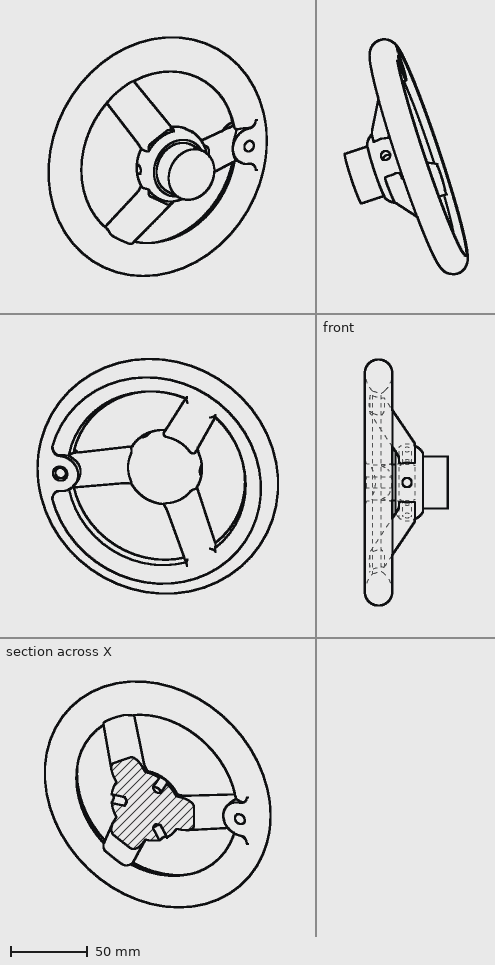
import cadquery as cq
import math


wheel_radius = 80.0
rim_width = 18.0
rim_mid_x = rim_width / 2
rim_center_radius = wheel_radius - rim_width / 2
rim_step_depth = 0.5
rim_step_radius = rim_center_radius - 0.3
rim_edge_x = 5.0
rim_edge_radius = 59.5
rim_inner_x = 10.5
rim_inner_radius = 57.6

hub_face_x = 20.0
hub_crown_x = 27.5
hub_shoulder_x = 38.0
hub_end_x = 54.0
hub_radius = 25.0
hub_face_radius = 19.0
hub_end_radius = 34.0 / 2

drill_radius = 6.0 / 2
drill_depth = 9.6
drill_point_angle = 118.0

spoke_count = 3
spoke_pitch = 360 / spoke_count
spoke_lean = math.radians(30.0)
spoke_thickness = 9.1
spoke_back_x = 32.6
spoke_back_radius = 24.8
spoke_root_radius = 16.0
spoke_tip_radius = 62.0
spoke_root_half_width = 12.2
spoke_tip_half_width = 11.4
spoke_bend_start = 26.4
spoke_bend_radius = 8.0
spoke_front_round = 3.2
spoke_back_round = 5.0
spoke_tip_fillet = 2.4

boss_center_y = 63.0
boss_radius = 12.0
boss_flare_radius = 5.0
handle_hole_radius = 7.0 / 2
handle_hole_chamfer = 1.3


def revolve_about_x(profile):
    return profile.close().revolve(360, (0, 0, 0), (1, 0, 0))


def turn(body, angle):
    return body.rotate((0, 0, 0), (1, 0, 0), angle)


def arc_middle(start, direction, end):
    """Middle point of the arc that leaves start along a unit direction and reaches end."""
    chord_x = end[0] - start[0]
    chord_y = end[1] - start[1]
    chord = math.hypot(chord_x, chord_y)
    toward_x = direction[0] + chord_x / chord
    toward_y = direction[1] + chord_y / chord
    reach = chord**2 / (2 * (toward_x * chord_x + toward_y * chord_y))
    return start[0] + reach * toward_x, start[1] + reach * toward_y


def make_rim():
    """Round outer half, a small step in the front face and a slimmer inner half."""
    step_foot = (rim_step_depth, rim_step_radius)
    inner_edge = (rim_edge_x, rim_edge_radius)
    front_middle = arc_middle(step_foot, (0, -1), inner_edge)
    profile = (
        cq.Workplane("XY")
        .moveTo(0, rim_center_radius)
        .threePointArc((rim_mid_x, wheel_radius), (rim_width, rim_center_radius))
        .tangentArcPoint((rim_inner_x, rim_inner_radius), relative=False)
        .lineTo(*inner_edge)
        .threePointArc(front_middle, step_foot)
        .lineTo(0, rim_step_radius)
    )
    return revolve_about_x(profile)


def make_hub():
    crown = (hub_crown_x, hub_radius)
    face_rim = (hub_face_x, hub_face_radius)
    shoulder_rim = (hub_shoulder_x, hub_face_radius)
    profile = (
        cq.Workplane("XY")
        .moveTo(hub_face_x, 0)
        .lineTo(*face_rim)
        .threePointArc(arc_middle(crown, (-1, 0), face_rim), crown)
        .threePointArc(arc_middle(crown, (1, 0), shoulder_rim), shoulder_rim)
        .lineTo(hub_shoulder_x, hub_end_radius)
        .lineTo(hub_end_x, hub_end_radius)
        .lineTo(hub_end_x, 0)
    )
    return turn(revolve_about_x(profile), spoke_pitch / 2)


def spoke_back(y):
    """X of the sloping back face of the +Y spoke."""
    return spoke_back_x - math.tan(spoke_lean) * (y - spoke_back_radius)


def spoke_front(y):
    """X of the sloping front face of the +Y spoke."""
    return spoke_back(y) - spoke_thickness / math.cos(spoke_lean)


def make_spoke_blank():
    """Square-edged +Y spoke; its front face bends to run straight into the hub."""
    bend_x = spoke_front(spoke_bend_start)
    bend_end_x = bend_x + spoke_bend_radius * (1 - math.cos(spoke_lean))
    bend_end_y = spoke_bend_start - spoke_bend_radius * math.sin(spoke_lean)
    side = (
        cq.Workplane("XY")
        .moveTo(spoke_back(spoke_root_radius), spoke_root_radius)
        .lineTo(spoke_back(wheel_radius), wheel_radius)
        .lineTo(spoke_front(wheel_radius), wheel_radius)
        .lineTo(bend_x, spoke_bend_start)
        .tangentArcPoint((bend_end_x, bend_end_y), relative=False)
        .lineTo(bend_end_x, spoke_root_radius)
        .close()
        .extrude(wheel_radius, both=True)
    )
    tip_corner_y = math.sqrt(spoke_tip_radius**2 - spoke_tip_half_width**2)
    plan = (
        cq.Workplane("YZ")
        .moveTo(spoke_root_radius, -spoke_root_half_width)
        .lineTo(tip_corner_y, -spoke_tip_half_width)
        .threePointArc((spoke_tip_radius, 0), (tip_corner_y, spoke_tip_half_width))
        .lineTo(spoke_root_radius, spoke_root_half_width)
        .close()
        .extrude(hub_end_x)
    )
    return side.intersect(plan)


def make_spoke():
    blank = make_spoke_blank()
    middle_y = (spoke_root_radius + spoke_tip_radius) / 2

    front_face = blank.faces(cq.selectors.NearestToPointSelector((spoke_front(middle_y), middle_y, 0)))
    front_edges = front_face.edges().filter(lambda edge: edge.Center().y > spoke_bend_start + 1.6)
    spoke = front_edges.fillet(spoke_front_round)

    back_face = spoke.faces(cq.selectors.NearestToPointSelector((spoke_back(middle_y), middle_y, 0)))
    spoke = back_face.edges("(not |Z) and (<Z or >Z)").fillet(spoke_back_round)

    return spoke.intersect(cq.Workplane("YZ").circle(wheel_radius).extrude(spoke_back_x))


def make_boss():
    """Round pad that flares into the rim with a hollow arc on each side."""
    diagonal = boss_flare_radius * math.sqrt(0.5)
    flare_center_z = boss_radius + boss_flare_radius
    flare_middle = (boss_center_y + diagonal, flare_center_z - diagonal)
    flare_end_y = boss_center_y + boss_flare_radius
    outer_y = math.sqrt(rim_center_radius**2 - flare_center_z**2)
    profile = (
        cq.Workplane("YZ")
        .moveTo(outer_y, -flare_center_z)
        .lineTo(flare_end_y, -flare_center_z)
        .threePointArc((flare_middle[0], -flare_middle[1]), (boss_center_y, -boss_radius))
        .threePointArc((boss_center_y - boss_radius, 0), (boss_center_y, boss_radius))
        .threePointArc(flare_middle, (flare_end_y, flare_center_z))
        .lineTo(outer_y, flare_center_z)
        .threePointArc((rim_center_radius, 0), (outer_y, -flare_center_z))
        .close()
    )
    return profile.extrude(rim_width)


def make_handle_hole():
    """Through hole in the boss with a chamfered front rim."""
    profile = (
        cq.Workplane("XY")
        .moveTo(0, boss_center_y)
        .lineTo(0, boss_center_y + handle_hole_radius + handle_hole_chamfer)
        .lineTo(handle_hole_chamfer, boss_center_y + handle_hole_radius)
        .lineTo(rim_width, boss_center_y + handle_hole_radius)
        .lineTo(rim_width, boss_center_y)
        .close()
    )
    return profile.revolve(360, (0, boss_center_y, 0), (1, boss_center_y, 0))


def make_drilled_hole():
    """Blind hole with a conical bottom, drilled into the hub from -Y."""
    bottom_y = drill_depth - hub_radius
    point_height = drill_radius / math.tan(math.radians(drill_point_angle / 2))
    profile = (
        cq.Workplane("XY")
        .moveTo(hub_crown_x, -hub_radius)
        .lineTo(hub_crown_x + drill_radius, -hub_radius)
        .lineTo(hub_crown_x + drill_radius, bottom_y)
        .lineTo(hub_crown_x, bottom_y + point_height)
        .close()
    )
    return profile.revolve(360, (hub_crown_x, 0, 0), (hub_crown_x, 1, 0))


spoke_angles = [index * spoke_pitch for index in range(spoke_count)]

result = make_rim()
for angle in spoke_angles:
    result = result.union(turn(make_spoke(), angle))

for angle in spoke_angles[1:]:
    turned = math.radians(angle)
    tip_point = (rim_edge_x, spoke_tip_radius * math.cos(turned), spoke_tip_radius * math.sin(turned))
    tip_edge = result.edges(cq.selectors.NearestToPointSelector(tip_point))
    result = tip_edge.fillet(spoke_tip_fillet)

result = result.union(make_hub())
result = result.union(make_boss()).cut(make_handle_hole())
for angle in spoke_angles:
    result = result.cut(turn(make_drilled_hole(), angle))